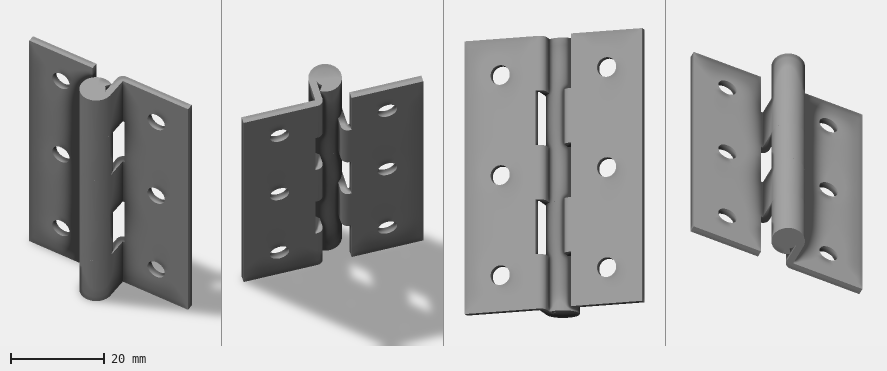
import cadquery as cq
import math

height = 60.0
hinge_width = 40.0
sheet = 1.55
pin_radius = 2.05
plate_back = 6.6
bend_radius = 1.5
curl_end_degrees = 56.0
plate_edge = 4.0
knuckle_count = 5
hole_diameter = 4.3
hole_offset = 12.0
hole_pitch = 22.0
hole_count = 3

barrel_radius = pin_radius + sheet
plate_front = plate_back - sheet
half_width = hinge_width / 2
knuckle_length = height / knuckle_count
curl_end_angle = math.radians(curl_end_degrees)
curl_middle_angle = curl_end_angle / 2 - math.pi


def on_circle(radius, angle):
    return (radius * math.cos(angle), radius * math.sin(angle))


def make_plate():
    """Flat plate on the +X side with its row of screw holes."""
    plate = cq.Workplane("XY").box(
        half_width - plate_edge, sheet, height, centered=(False, False, True)
    ).translate((plate_edge, plate_front, 0))
    hole_places = [
        (hole_offset, (i - (hole_count - 1) / 2) * hole_pitch) for i in range(hole_count)
    ]
    holes = (
        cq.Workplane("XZ", origin=(0, plate_back, 0))
        .pushPoints(hole_places)
        .circle(hole_diameter / 2)
        .extrude(sheet)
    )
    return plate.cut(holes)


def make_knuckle(index):
    """Strip that bends forward off the plate and curls around the pin; index 0 is the lowest."""
    bottom = -height / 2 + index * knuckle_length
    bend_diagonal = bend_radius * math.sqrt(0.5)
    bend_middle = (
        pin_radius + bend_radius - bend_diagonal,
        plate_back - bend_radius + bend_diagonal,
    )
    return (
        cq.Workplane("XY", origin=(0, 0, bottom))
        .moveTo(plate_edge, plate_back)
        .lineTo(pin_radius + bend_radius, plate_back)
        .threePointArc(bend_middle, (pin_radius, plate_back - bend_radius))
        .lineTo(pin_radius, 0)
        .threePointArc(
            on_circle(pin_radius, curl_middle_angle),
            on_circle(pin_radius, curl_end_angle),
        )
        .lineTo(*on_circle(barrel_radius, curl_end_angle))
        .threePointArc(
            on_circle(barrel_radius, curl_middle_angle),
            (barrel_radius, 0),
        )
        .lineTo(barrel_radius, plate_front)
        .lineTo(plate_edge, plate_front)
        .close()
        .extrude(knuckle_length)
    )


def make_leaf(first_knuckle):
    """Leaf on the +X side carrying every second knuckle."""
    leaf = make_plate()
    for index in range(first_knuckle, knuckle_count, 2):
        leaf = leaf.union(make_knuckle(index))
    return leaf


def make_pin():
    return cq.Workplane("XY").circle(pin_radius).extrude(height / 2, both=True)


right_leaf = make_leaf(first_knuckle=0)
left_leaf = make_leaf(first_knuckle=1).mirror("YZ")
pin = make_pin()

result = cq.Compound.makeCompound([right_leaf.val(), left_leaf.val(), pin.val()])